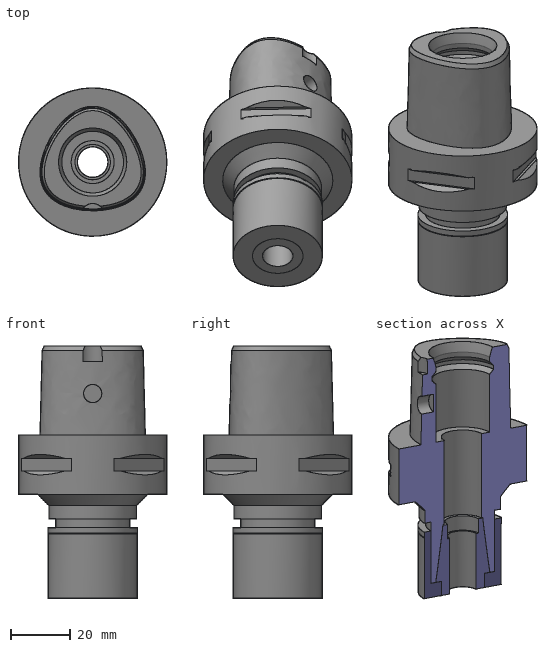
import cadquery as cq
import math

TOTAL_LENGTH = 85.0
SHANK_LENGTH = 30.0
FLANGE_HEIGHT = 20.0
NUT_LENGTH = 23.8
NECK_TOP_Z = 26.8
FLANGE_TOP_Z = TOTAL_LENGTH - SHANK_LENGTH
FLANGE_BOTTOM_Z = FLANGE_TOP_Z - FLANGE_HEIGHT

SHANK_MEAN_RADIUS = 17.6
LOBE_HEIGHT = 1.2
SHANK_TAPER = 1 / 40
SHANK_CHAMFER_HEIGHT = 1.5
SHANK_CHAMFER_WIDTH = 0.8
OUTLINE_POINT_COUNT = 36

FLANGE_RADIUS = 25.0
COLLAR_RADIUS = 14.8
NECK_RADIUS = 12.5
CONE_HEIGHT = 3.7
COLLAR_TOP_Z = FLANGE_BOTTOM_Z - CONE_HEIGHT

SLOT_COUNT = 4
SLOT_FIRST_ANGLE = 45
SLOT_CENTER_Z = FLANGE_TOP_Z - FLANGE_HEIGHT / 2
SLOT_WIDTH = 4.2
SLOT_FLOOR_RADIUS = 22.0
SLOT_FLANK_RADIUS = 22.95
SLOT_FLANK_RISE = 1.4
SLOT_CUT_MARGIN = 0.85

BORE_MOUTH_RADIUS = 11.5
BORE_RADIUS = 10.4
BORE_MOUTH_DEPTH = 3.4
GROOVE_RADIUS = 11.9
GROOVE_START_DEPTH = 5.1
GROOVE_END_DEPTH = 9.5
BORE_DEPTH = SHANK_LENGTH
PASSAGE_RADIUS = 7.2

KEYWAY_RADIUS = 4.0
KEYWAY_BOTTOM_Y = -13.9
KEYWAY_DEPTH = 5.3
MARK_HOLE_RADIUS = 3.1
MARK_HOLE_Z = 68.9
MARK_HOLE_FLOOR_Y = -11.5

COLLET_NOSE_RADIUS = 8.5
COLLET_NOSE_LENGTH = 5.0
COLLET_BASE_RADIUS = 10.45
COLLET_TOP_RADIUS = 7.65
COLLET_HALF_ANGLE = 8
COLLET_BORE_RADIUS = 5.1
COLLET_RELIEF_RADIUS = 5.95
COLLET_RELIEF_DEPTH = 5.1
COLLET_CONE_LENGTH = (COLLET_BASE_RADIUS - COLLET_TOP_RADIUS) / math.tan(math.radians(COLLET_HALF_ANGLE))
COLLET_TOP_Z = COLLET_NOSE_LENGTH + COLLET_CONE_LENGTH

NUT_RADIUS = 15.05
NUT_RIM_RADIUS = 15.1
NUT_RIM_HEIGHT = 1.9
NUT_RIM_CHAMFER_HEIGHT = 0.25


def revolve(profile):
    """Turn (radius, z) points into a solid of revolution about Z."""
    return cq.Workplane("XZ").polyline(profile).close().revolve(360, (0, 0, 0), (0, 1, 0))


def shank_outline(z, mean_radius):
    """Closed three-lobed curve at height z, with one lobe pointing to +Y."""
    points = []
    for i in range(OUTLINE_POINT_COUNT):
        angle = math.pi + 2 * math.pi * i / OUTLINE_POINT_COUNT
        x = mean_radius * math.sin(angle) - LOBE_HEIGHT * math.sin(2 * angle)
        y = mean_radius * math.cos(angle) + LOBE_HEIGHT * math.cos(2 * angle)
        points.append(cq.Vector(x, y, z))
    return cq.Wire.assembleEdges([cq.Edge.makeSpline(points, periodic=True)])


def make_shank():
    """Tapered three-lobed shank with a chamfered end."""
    taper_height = SHANK_LENGTH - SHANK_CHAMFER_HEIGHT
    chamfer_radius = SHANK_MEAN_RADIUS - SHANK_TAPER * taper_height
    chamfer_z = FLANGE_TOP_Z + taper_height
    base = shank_outline(FLANGE_TOP_Z, SHANK_MEAN_RADIUS)
    shoulder = shank_outline(chamfer_z, chamfer_radius)
    end = shank_outline(TOTAL_LENGTH, chamfer_radius - SHANK_CHAMFER_WIDTH)
    taper = cq.Solid.makeLoft([base, shoulder], True)
    chamfer = cq.Solid.makeLoft([shoulder, end], True)
    return cq.Workplane(taper).union(cq.Workplane(chamfer))


def make_flange_and_neck():
    """Round flange, cone, collar and the neck that the nut screws onto."""
    return revolve([
        (0, FLANGE_TOP_Z),
        (FLANGE_RADIUS, FLANGE_TOP_Z),
        (FLANGE_RADIUS, FLANGE_BOTTOM_Z),
        (COLLAR_RADIUS + CONE_HEIGHT, FLANGE_BOTTOM_Z),
        (COLLAR_RADIUS, COLLAR_TOP_Z),
        (COLLAR_RADIUS, NECK_TOP_Z),
        (NECK_RADIUS, NECK_TOP_Z),
        (NECK_RADIUS, COLLET_NOSE_LENGTH),
        (0, COLLET_NOSE_LENGTH),
    ])


def make_bore():
    """Clamping bore with a conical mouth and a bevelled inner groove, the passage and the collet seat."""
    groove_flank = GROOVE_RADIUS - BORE_RADIUS
    groove_top_z = TOTAL_LENGTH - GROOVE_START_DEPTH
    groove_bottom_z = TOTAL_LENGTH - GROOVE_END_DEPTH
    return revolve([
        (0, TOTAL_LENGTH),
        (BORE_MOUTH_RADIUS, TOTAL_LENGTH),
        (BORE_RADIUS, TOTAL_LENGTH - BORE_MOUTH_DEPTH),
        (BORE_RADIUS, groove_top_z),
        (GROOVE_RADIUS, groove_top_z - groove_flank),
        (GROOVE_RADIUS, groove_bottom_z + groove_flank),
        (BORE_RADIUS, groove_bottom_z),
        (BORE_RADIUS, TOTAL_LENGTH - BORE_DEPTH),
        (PASSAGE_RADIUS, TOTAL_LENGTH - BORE_DEPTH),
        (PASSAGE_RADIUS, COLLET_TOP_Z),
        (COLLET_TOP_RADIUS, COLLET_TOP_Z),
        (COLLET_BASE_RADIUS, COLLET_NOSE_LENGTH),
        (0, COLLET_NOSE_LENGTH),
    ])


def make_gripper_slot(angle):
    """Straight slot with a flat floor and sloping flanks, cut across the flange rim at an angle."""
    half_width = SLOT_WIDTH / 2
    flank_slope = SLOT_FLANK_RISE / (FLANGE_RADIUS - SLOT_FLANK_RADIUS)
    outer_radius = FLANGE_RADIUS + SLOT_CUT_MARGIN
    outer_half_width = half_width + flank_slope * (outer_radius - SLOT_FLANK_RADIUS)
    section = [
        (SLOT_FLOOR_RADIUS, -half_width),
        (SLOT_FLANK_RADIUS, -half_width),
        (outer_radius, -outer_half_width),
        (outer_radius, outer_half_width),
        (SLOT_FLANK_RADIUS, half_width),
        (SLOT_FLOOR_RADIUS, half_width),
    ]
    slot = cq.Workplane("XZ").polyline(section).close().extrude(FLANGE_RADIUS, both=True)
    return slot.translate((0, 0, SLOT_CENTER_Z)).rotate((0, 0, 0), (0, 0, 1), angle)


def make_keyway():
    """Round-backed keyway open at the shank end."""
    return (
        cq.Workplane("XY", origin=(0, KEYWAY_BOTTOM_Y - KEYWAY_RADIUS, TOTAL_LENGTH))
        .circle(KEYWAY_RADIUS)
        .extrude(-KEYWAY_DEPTH)
    )


def make_mark_hole():
    """Flat-bottomed blind hole entering the shank from -Y."""
    hole_length = FLANGE_RADIUS + MARK_HOLE_FLOOR_Y
    return (
        cq.Workplane("XZ", origin=(0, MARK_HOLE_FLOOR_Y, MARK_HOLE_Z))
        .circle(MARK_HOLE_RADIUS)
        .extrude(hole_length)
    )


def make_holder():
    """Shank, flange and neck in one piece, with all their cuts."""
    holder = make_flange_and_neck().union(make_shank())
    holder = holder.cut(make_bore()).cut(make_keyway()).cut(make_mark_hole())
    for i in range(SLOT_COUNT):
        holder = holder.cut(make_gripper_slot(SLOT_FIRST_ANGLE + i * 360 / SLOT_COUNT))
    return holder.solids()


def make_collet():
    """Tapered collet with a plain nose and a stepped through bore."""
    relief_z = COLLET_TOP_Z - COLLET_RELIEF_DEPTH
    return revolve([
        (COLLET_BORE_RADIUS, 0),
        (COLLET_NOSE_RADIUS, 0),
        (COLLET_NOSE_RADIUS, COLLET_NOSE_LENGTH),
        (COLLET_BASE_RADIUS, COLLET_NOSE_LENGTH),
        (COLLET_TOP_RADIUS, COLLET_TOP_Z),
        (COLLET_RELIEF_RADIUS, COLLET_TOP_Z),
        (COLLET_RELIEF_RADIUS, relief_z),
        (COLLET_BORE_RADIUS, relief_z),
    ])


def make_nut():
    """Round nut around the neck, with a rim at its top and an inner lip under the collet."""
    rim_bottom_z = NUT_LENGTH - NUT_RIM_HEIGHT
    return revolve([
        (COLLET_NOSE_RADIUS, 0),
        (NUT_RADIUS, 0),
        (NUT_RADIUS, rim_bottom_z - NUT_RIM_CHAMFER_HEIGHT),
        (NUT_RIM_RADIUS, rim_bottom_z),
        (NUT_RIM_RADIUS, NUT_LENGTH),
        (NECK_RADIUS, NUT_LENGTH),
        (NECK_RADIUS, COLLET_NOSE_LENGTH),
        (COLLET_NOSE_RADIUS, COLLET_NOSE_LENGTH),
    ])


holder = make_holder()
collet = make_collet()
nut = make_nut()
result = cq.Compound.makeCompound([holder.val(), collet.val(), nut.val()])